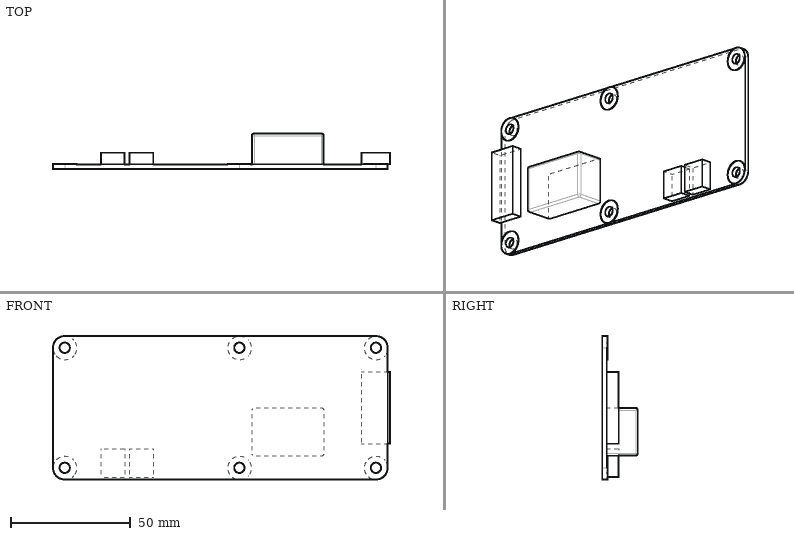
import cadquery as cq

overall_width = 141.0
connector_overhang = 1.0
board_width = overall_width - connector_overhang
board_height = 60.0
board_thickness = 2.0
corner_radius = 5.0

hole_diameter = 4.2
hole_inset = corner_radius
middle_hole_x = 78.0
pad_radius = corner_radius
pad_thickness = 0.3

component_height = 5.0
terminal_width = 10.0
terminal_length = 12.0
terminal_bottom = 1.0
first_terminal_x = 20.0
terminal_pitch = 12.0
terminal_count = 2

connector_width = 12.0
connector_length = 30.0

overall_depth = 15.0
module_width = 30.0
module_length = 20.0
module_x = 83.2
module_bottom = 10.0
module_fillet = 1.0


def component(x, z, width, length, height):
    """Block standing on the back of the board, with its low corner at x, z."""
    return cq.Workplane("XY").box(width, height, length, centered=False).translate((x, board_thickness, z))


board = (
    cq.Workplane("XZ")
    .rect(board_width, board_height)
    .extrude(-board_thickness)
    .translate((board_width / 2, 0, board_height / 2))
    .edges("|Y")
    .fillet(corner_radius)
)

hole_centers = [
    (x, z)
    for x in (hole_inset, middle_hole_x, board_width - hole_inset)
    for z in (hole_inset, board_height - hole_inset)
]
pad_depth = board_thickness + pad_thickness
pads = cq.Workplane("XZ").pushPoints(hole_centers).circle(pad_radius).extrude(-pad_depth)
holes = cq.Workplane("XZ").pushPoints(hole_centers).circle(hole_diameter / 2).extrude(-pad_depth)

connector = component(
    overall_width - connector_width,
    (board_height - connector_length) / 2,
    connector_width,
    connector_length,
    component_height,
)

module = (
    component(module_x, module_bottom, module_width, module_length, overall_depth - board_thickness)
    .edges("|Y or >Y")
    .fillet(module_fillet)
)

result = board.union(pads).union(connector).union(module)
for index in range(terminal_count):
    terminal_x = first_terminal_x + index * terminal_pitch
    result = result.union(
        component(terminal_x, terminal_bottom, terminal_width, terminal_length, component_height)
    )
result = result.cut(holes)